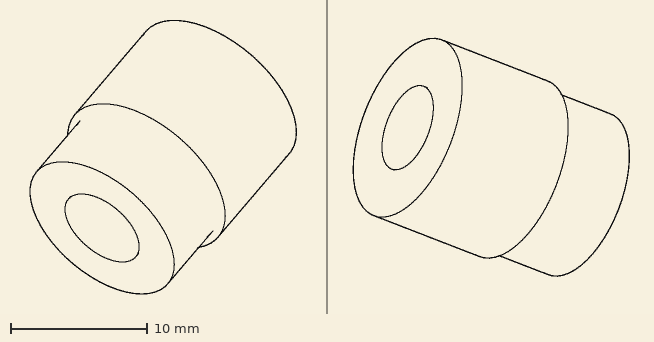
import cadquery as cq

head_diameter = 13.87
spigot_diameter = 12.7
bore_diameter = 6.53
total_length = 15.49
head_length = 9.55
root_fillet_radius = 0.127

spigot_length = total_length - head_length


def cylinder_along_y(diameter, start_y, length):
    """Solid cylinder on the Y axis, from start_y towards +Y."""
    plane = cq.Workplane("XZ", origin=(0, start_y, 0))
    return plane.circle(diameter / 2).extrude(-length)


def stepped_body():
    """Large head behind a smaller spigot; the spigot end face lies at Y = 0."""
    spigot = cylinder_along_y(spigot_diameter, 0, spigot_length)
    head = cylinder_along_y(head_diameter, spigot_length, head_length)
    return spigot.union(head)


def round_shoulder_root(body):
    """Fillet the inside corner where the spigot meets the head's shoulder."""
    shoulder = body.faces("<Y[1]")
    root_edge = shoulder.edges(cq.selectors.RadiusNthSelector(0))
    return root_edge.fillet(root_fillet_radius)


def through_bore():
    """Cutter for the plain hole along the full length."""
    return cylinder_along_y(bore_diameter, 0, total_length)


result = round_shoulder_root(stepped_body()).cut(through_bore())